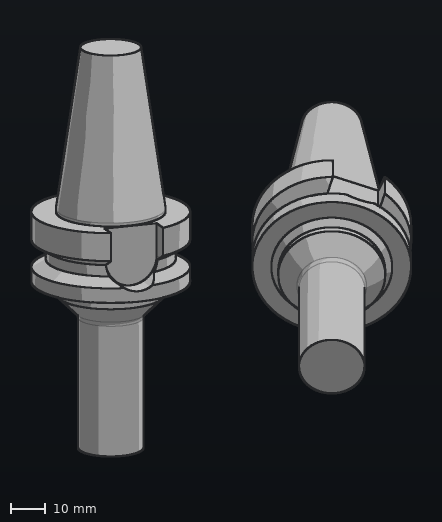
import cadquery as cq
import math


GAUGE_DIAMETER = 31.75
TAPER_LENGTH = 48.4
TAPER_RATIO = 7 / 24
TAPER_END_DIAMETER = GAUGE_DIAMETER - TAPER_RATIO * TAPER_LENGTH

FLANGE_DIAMETER = 46.0
FLANGE_TOP_Z = -1.0
FLANGE_BOTTOM_Z = -22.0

GROOVE_FLOOR_DIAMETER = 37.7
GROOVE_CENTER_Z = -13.5
GROOVE_FLOOR_WIDTH = 3.4
GROOVE_WALL_ANGLE = 30.0

SLOT_WIDTH = 16.1
SLOT_FLOOR_X = 16.3
SLOT_BOTTOM_Z = -18.85
SLOT_RADIUS = SLOT_WIDTH / 2
SLOT_DEPTH = FLANGE_DIAMETER / 2 - SLOT_FLOOR_X

COLLAR_DIAMETER = 31.0
COLLAR_CHAMFER = 2.0
COLLAR_BOTTOM_Z = -26.0
NOSE_DIAMETER = 19.0
NOSE_FILLET = 2.0
NOSE_BOTTOM_Z = -72.0


def make_body():
    """Revolve the half profile of the whole holder."""
    gauge_r = GAUGE_DIAMETER / 2
    flange_r = FLANGE_DIAMETER / 2
    groove_r = GROOVE_FLOOR_DIAMETER / 2
    collar_r = COLLAR_DIAMETER / 2
    nose_r = NOSE_DIAMETER / 2

    floor_half = GROOVE_FLOOR_WIDTH / 2
    mouth_half = floor_half + (flange_r - groove_r) * math.tan(math.radians(GROOVE_WALL_ANGLE))

    fillet_height = NOSE_FILLET * math.sin(math.radians(45))
    cone_end_r = nose_r + NOSE_FILLET - fillet_height
    cone_end_z = COLLAR_BOTTOM_Z - (collar_r - cone_end_r)
    nose_top_z = cone_end_z - fillet_height

    profile = (
        cq.Workplane("XZ")
        .moveTo(0, TAPER_LENGTH)
        .lineTo(TAPER_END_DIAMETER / 2, TAPER_LENGTH)
        .lineTo(gauge_r, 0)
        .lineTo(gauge_r, FLANGE_TOP_Z)
        .lineTo(flange_r, FLANGE_TOP_Z)
        .lineTo(flange_r, GROOVE_CENTER_Z + mouth_half)
        .lineTo(groove_r, GROOVE_CENTER_Z + floor_half)
        .lineTo(groove_r, GROOVE_CENTER_Z - floor_half)
        .lineTo(flange_r, GROOVE_CENTER_Z - mouth_half)
        .lineTo(flange_r, FLANGE_BOTTOM_Z)
        .lineTo(collar_r + COLLAR_CHAMFER, FLANGE_BOTTOM_Z)
        .lineTo(collar_r, FLANGE_BOTTOM_Z - COLLAR_CHAMFER)
        .lineTo(collar_r, COLLAR_BOTTOM_Z)
        .lineTo(cone_end_r, cone_end_z)
        .radiusArc((nose_r, nose_top_z), -NOSE_FILLET)
        .lineTo(nose_r, NOSE_BOTTOM_Z)
        .lineTo(0, NOSE_BOTTOM_Z)
        .close()
    )
    return profile.revolve(360, (0, 0, 0), (0, 1, 0))


def make_drive_slot():
    """Cutter for the drive slot on the +X side."""
    arc_center_z = SLOT_BOTTOM_Z + SLOT_RADIUS
    return (
        cq.Workplane("YZ", origin=(SLOT_FLOOR_X, 0, 0))
        .moveTo(-SLOT_RADIUS, FLANGE_TOP_Z)
        .lineTo(-SLOT_RADIUS, arc_center_z)
        .threePointArc((0, SLOT_BOTTOM_Z), (SLOT_RADIUS, arc_center_z))
        .lineTo(SLOT_RADIUS, FLANGE_TOP_Z)
        .close()
        .extrude(SLOT_DEPTH)
    )


result = make_body()
for angle in (0, 180):
    result = result.cut(make_drive_slot().rotate((0, 0, 0), (0, 0, 1), angle))